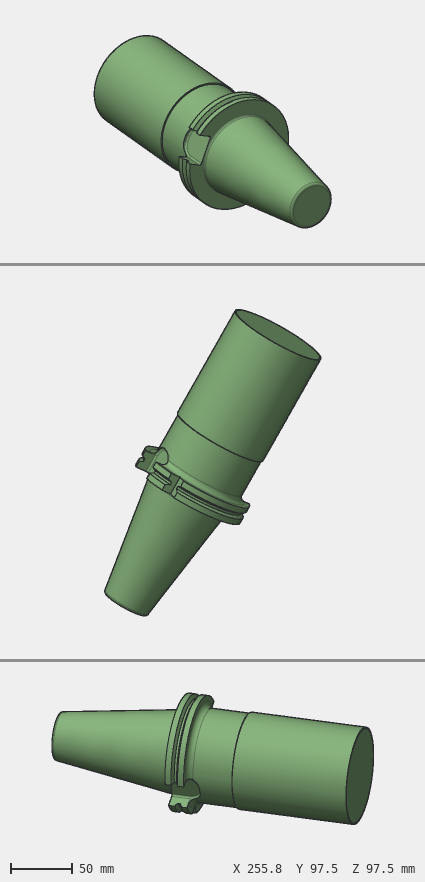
import cadquery as cq
import math

total_length = 255.8
sleeve_length = 96.7
flange_front = 135.0
flange_back = 151.0
gauge_plane = 153.5
groove_center = (flange_front + flange_back) / 2

sleeve_radius = 80.0 / 2
shank_radius = 77.8 / 2
flange_radius = 97.5 / 2
neck_radius = 69.8 / 2
taper_half_slope = 3.5 / 24
taper_end_radius = neck_radius - (total_length - gauge_plane) * taper_half_slope

flange_fillet = 5.0
neck_fillet = 0.5
taper_end_fillet = 2.3
groove_top_width = 5.6
groove_bottom_width = 2.0
groove_depth = 3.3

slot_width = 25.5
slot_floor = 35.5
slot_front = 125.0
slot_corner_radius = 20.7 / 2
slot_floor_fillet = 3.0 / 2
slot_tilt = 22.5
notch_apex_radius = 42.2
notch_tilt = 22.5
cut_margin = 2.5


def make_sleeve():
    """Thin tube fitted over the front of the shank, flush with its front face."""
    return cq.Workplane("YZ").circle(sleeve_radius).circle(shank_radius).extrude(sleeve_length)


def make_turned_holder():
    """Shank, flange and taper, revolved about X."""
    arc_dip = flange_fillet * math.sqrt(0.5)
    profile = (
        cq.Workplane("XY")
        .moveTo(0, 0)
        .lineTo(0, shank_radius)
        .lineTo(flange_front - flange_fillet, shank_radius)
        .threePointArc(
            (flange_front - flange_fillet + arc_dip, shank_radius + flange_fillet - arc_dip),
            (flange_front, shank_radius + flange_fillet),
        )
        .lineTo(flange_front, flange_radius)
        .lineTo(groove_center - groove_top_width / 2, flange_radius)
        .lineTo(groove_center - groove_bottom_width / 2, flange_radius - groove_depth)
        .lineTo(groove_center + groove_bottom_width / 2, flange_radius - groove_depth)
        .lineTo(groove_center + groove_top_width / 2, flange_radius)
        .lineTo(flange_back, flange_radius)
        .lineTo(flange_back, neck_radius + neck_fillet)
        .radiusArc((flange_back + neck_fillet, neck_radius), -neck_fillet)
        .lineTo(gauge_plane, neck_radius)
        .lineTo(total_length, taper_end_radius)
        .lineTo(total_length, 0)
        .close()
    )
    holder = profile.revolve(360, (0, 0, 0), (1, 0, 0))
    return holder.faces(">X").edges().fillet(taper_end_fillet)


def make_slot_cutter():
    """Rounded slot shape on the -Y side, with filleted floor edges, open at the back of the flange."""
    length = flange_back + slot_corner_radius - slot_front
    height = flange_radius + cut_margin - slot_floor
    cutter = (
        cq.Workplane("XY")
        .box(length, height, slot_width)
        .translate((slot_front + length / 2, -slot_floor - height / 2, 0))
        .edges("<X and |Y")
        .fillet(slot_corner_radius)
        .faces(">Y")
        .edges("not >X")
        .fillet(slot_floor_fillet)
    )
    stock_size = 4 * flange_radius
    flange_side = cq.Workplane("YZ").rect(stock_size, stock_size).extrude(flange_back)
    return cutter.intersect(flange_side)


def make_notch_cutter():
    """Right-angled V on the -Z side, across the full flange thickness."""
    reach = flange_radius + cut_margin - notch_apex_radius
    return (
        cq.Workplane("YZ", origin=(flange_front - flange_fillet, 0, 0))
        .moveTo(0, -notch_apex_radius)
        .lineTo(reach, -notch_apex_radius - reach)
        .lineTo(-reach, -notch_apex_radius - reach)
        .close()
        .extrude(flange_back - flange_front + flange_fillet)
    )


def rotate_about_axis(shape, angle):
    return shape.rotate((0, 0, 0), (1, 0, 0), angle)


def make_holder():
    holder = make_turned_holder()
    slot_cutter = make_slot_cutter()
    for side in (0, 180):
        holder = holder.cut(rotate_about_axis(slot_cutter, side - slot_tilt))
    return holder.cut(rotate_about_axis(make_notch_cutter(), notch_tilt))


sleeve = make_sleeve()
holder = make_holder()
result = cq.Compound.makeCompound([sleeve.val(), holder.val()])